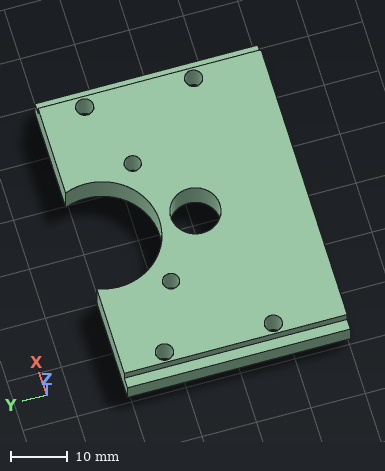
import cadquery as cq

width = 58.0
depth = 41.0
thickness = 6.0

rebate_width = 2.0
rebate_depth = 2.0

bore_diameter = 9.0
bore_y = 20.0

cutout_diameter = 21.0
cutout_y = bore_y + 17.1

mounting_diameter = 3.2
mounting_spacing_x = 50.0
mounting_spacing_y = 20.0
mounting_center_y = bore_y + 3.0

small_diameter = 3.0
small_spacing_x = 24.0
small_y = bore_y + 8.0


def through_holes(diameter, centers):
    """Vertical cylinders through the full plate thickness."""
    return cq.Workplane("XY").pushPoints(centers).circle(diameter / 2).extrude(thickness)


base = cq.Workplane("XY").box(width, depth, thickness - rebate_depth, centered=(True, False, False))
raised = cq.Workplane("XY").box(width - 2 * rebate_width, depth, thickness, centered=(True, False, False))
plate = base.union(raised)

mounting_centers = [
    (side_x * mounting_spacing_x / 2, mounting_center_y + side_y * mounting_spacing_y / 2)
    for side_x in (-1, 1)
    for side_y in (-1, 1)
]
small_centers = [(side * small_spacing_x / 2, small_y) for side in (-1, 1)]

result = (
    plate
    .cut(through_holes(bore_diameter, [(0, bore_y)]))
    .cut(through_holes(cutout_diameter, [(0, cutout_y)]))
    .cut(through_holes(mounting_diameter, mounting_centers))
    .cut(through_holes(small_diameter, small_centers))
)